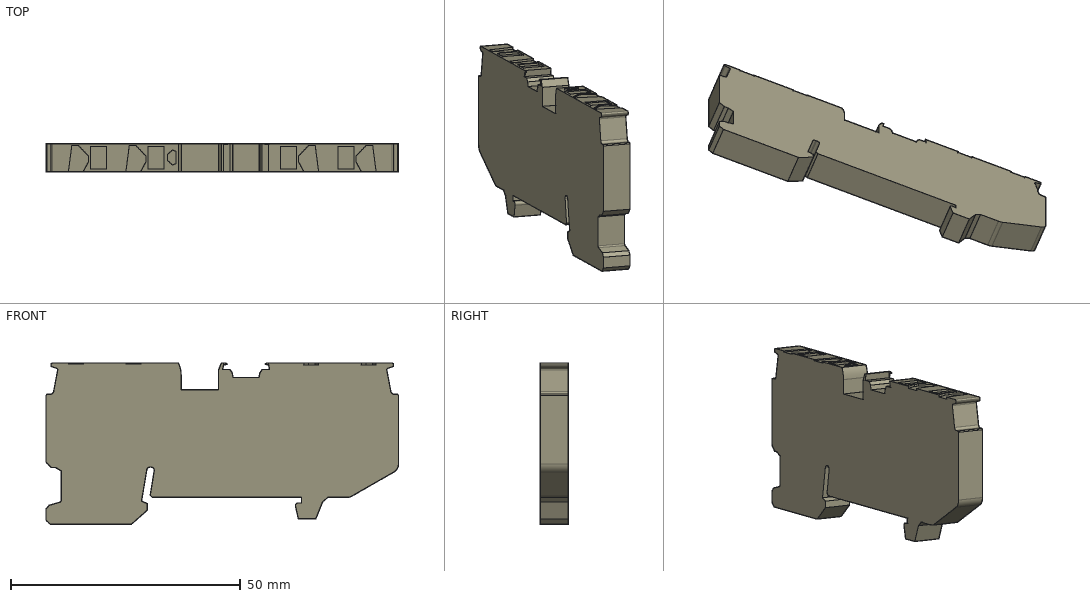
import cadquery as cq
import math

length = 77.0
width = 6.2
height = 35.25
sharp = 0.0

shoulder_z = 28.45
shoulder_chamfer = 0.25
shoulder_inset = 1.55
neck_inset = 2.6
neck_top_z = 34.0
lip_inset = 1.1
lip_bottom_z = 34.45
shoulder_radius = 0.7
neck_radius = 0.3
lip_radius = 0.35

slot_left_x = 29.55
slot_right_x = 37.65
slot_floor_z = 29.45
slot_lead_in = 0.6
slot_lead_in_z = 34.0
slot_lead_in_radius = 6.0

marker_center_x = 43.7
marker_floor_z = 32.1
marker_floor_half = 2.8
marker_wall_half = 3.0
marker_wall_z = 33.1
marker_ledge_z = 33.85
marker_ledge_half = 3.5
ledge_end_half = 5.1
groove_top_half = 4.9
barb_bottom_z = 34.75
barb_tip_half = 4.1
barb_tip_z = 35.0
barb_top_half = 4.5
barb_width = 0.2
ridge_top_x = 38.3
ridge_slope_z = 33.7

base_z = 5.9
slope_start_x = 66.35
slope_end_z = 12.0
slope_radius = 2.0

hook_root_x = 55.8
hook_tip_x = 54.3
hook_top_z = 4.7
hook_bottom_z = 1.2
hook_bottom_left_x = 55.1
hook_bottom_right_x = 58.95
hook_back_x = 60.45
hook_back_z = 4.95
hook_back_end_x = 61.6
hook_tip_radius = 0.6

gap_top_z = 12.5
gap_left_bottom_x = 20.9
gap_left_top_x = 22.15
gap_right_bottom_x = 22.75
gap_right_top_x = 23.75
gap_bottom_z = 5.1
gap_radius = 0.7
gap_mouth_z = 6.4
gap_mouth_x = 23.25
toe_x = 22.15
toe_top_z = 4.55
toe_bottom_z = 3.1
foot_right_x = 18.65
foot_chamfer = 0.95
foot_side_z = 3.35
foot_bevel_x = 0.7
foot_bevel_z = 4.2
recess_x = 3.3
recess_bottom_z = 4.95
recess_top_z = 11.7
recess_radius = 0.35
recess_step_x = 2.1
recess_step_z = 12.4
recess_lip_x = 1.15
recess_lip_z = 13.6

pocket_pitch = 12.55
left_pocket_depth = 0.25
right_pocket_depth = 0.45
window_inset = 9.75
window_length = 3.5
window_y_min = 0.65
window_y_max = 5.5
entry_foot_outer = 4.9
entry_foot_inner = 8.1
entry_back_outer = 5.65
entry_back_inner = 7.1
entry_back_y = 5.75
entry_tip = 9.35
entry_tip_y_min = 2.3
entry_tip_y_max = 3.4

test_left_x = 26.5
test_apex_x = 27.65
test_right_x = 28.45
test_center_y = 3.15
test_left_half = 0.6
test_right_half = 1.3
test_apex_half = 1.65


def rounded_wire(corners):
    """Closed XZ outline from (x, z, radius) corners, each rounded by a tangent arc."""
    outline = None
    for i, (x, z, radius) in enumerate(corners):
        before = cq.Vector(*corners[i - 1][:2])
        after = cq.Vector(*corners[(i + 1) % len(corners)][:2])
        corner = cq.Vector(x, z)
        to_before = (before - corner).normalized()
        to_after = (after - corner).normalized()
        half_angle = to_before.getAngle(to_after) / 2
        setback = radius / math.tan(half_angle)
        start = corner + to_before * setback
        if outline is None:
            outline = cq.Workplane("XZ").moveTo(start.x, start.y)
        else:
            outline = outline.lineTo(start.x, start.y)
        if radius > 0:
            bisector = (to_before + to_after).normalized()
            middle = corner + bisector * (radius / math.sin(half_angle) - radius)
            end = corner + to_after * setback
            outline = outline.threePointArc((middle.x, middle.y), (end.x, end.y))
    return outline.close()


def left_head():
    """Corners of the left end from the end face up to the top lip."""
    return [
        (0, shoulder_z - shoulder_chamfer, sharp),
        (shoulder_chamfer, shoulder_z, sharp),
        (shoulder_inset, shoulder_z, shoulder_radius),
        (neck_inset, neck_top_z, neck_radius),
        (lip_inset, lip_bottom_z, lip_radius),
        (lip_inset, height, lip_radius),
    ]


def marker_right_half():
    """Corners of the right half of the marker groove, from the floor to the top face."""
    offsets = [
        (marker_floor_half, marker_floor_z),
        (marker_wall_half, marker_wall_z),
        (marker_ledge_half, marker_ledge_z),
        (ledge_end_half, marker_ledge_z),
        (groove_top_half, height),
    ]
    return [(marker_center_x + offset, z, sharp) for offset, z in offsets]


def mirrored(corners, center_x):
    """The corners reflected about x = center_x, in reverse order."""
    return [(2 * center_x - x, z, radius) for x, z, radius in reversed(corners)]


def bridge_slot():
    return [
        (slot_left_x - slot_lead_in, height, sharp),
        (slot_left_x, slot_lead_in_z, slot_lead_in_radius),
        (slot_left_x, slot_floor_z, sharp),
        (slot_right_x, slot_floor_z, sharp),
        (slot_right_x, ridge_slope_z, sharp),
        (ridge_top_x, height, sharp),
    ]


def right_hook():
    """Corners of the sloping right end and the hook, from right to left."""
    return [
        (length, slope_end_z, slope_radius),
        (slope_start_x, base_z, slope_radius),
        (hook_back_end_x, base_z, sharp),
        (hook_back_x, hook_back_z, sharp),
        (hook_bottom_right_x, hook_bottom_z, sharp),
        (hook_bottom_left_x, hook_bottom_z, sharp),
        (hook_tip_x, hook_top_z, hook_tip_radius),
        (hook_root_x, hook_top_z, sharp),
        (hook_root_x, base_z, sharp),
    ]


def left_foot():
    """Corners of the gap, the foot and the end recess, from right to left."""
    return [
        (gap_mouth_x, base_z, sharp),
        (gap_right_bottom_x, gap_mouth_z, sharp),
        (gap_right_top_x, gap_top_z, gap_radius),
        (gap_left_top_x, gap_top_z, gap_radius),
        (gap_left_bottom_x, gap_bottom_z, sharp),
        (toe_x, toe_top_z, sharp),
        (toe_x, toe_bottom_z, sharp),
        (foot_right_x, 0, sharp),
        (foot_chamfer, 0, sharp),
        (0, foot_chamfer, sharp),
        (0, foot_side_z, sharp),
        (foot_bevel_x, foot_bevel_z, sharp),
        (recess_x, recess_bottom_z, recess_radius),
        (recess_x, recess_top_z, sharp),
        (recess_step_x, recess_step_z, sharp),
        (recess_lip_x, recess_step_z, sharp),
        (0, recess_lip_z, sharp),
    ]


def body():
    marker_right = marker_right_half()
    corners = left_head() + bridge_slot()
    corners += mirrored(marker_right, marker_center_x) + marker_right
    corners += mirrored(left_head(), length / 2)
    corners += right_hook() + left_foot()
    return rounded_wire(corners).extrude(-width)


def snap_barb(side):
    """Thin barb over the marker groove at y = width; side is -1 (left) or +1 (right)."""
    profile = [
        (ledge_end_half, marker_ledge_z),
        (groove_top_half, height),
        (barb_top_half, height),
        (barb_tip_half, barb_tip_z),
        (groove_top_half, barb_bottom_z),
    ]
    points = [(side * offset, z) for offset, z in profile]
    back_plane = cq.Workplane("XZ", origin=(marker_center_x, width, 0))
    return back_plane.polyline(points).close().extrude(barb_width)


def top_pocket(points, depth):
    """Cutter for a flat-floored pocket sunk into the top face."""
    return cq.Workplane("XY", origin=(0, 0, height - depth)).polyline(points).close().extrude(2 * depth)


def window_points(shift):
    outer = window_inset + shift
    inner = outer + window_length
    return [(outer, window_y_min), (inner, window_y_min), (inner, window_y_max), (outer, window_y_max)]


def entry_points(shift):
    points = [
        (entry_foot_outer, 0),
        (entry_foot_inner, 0),
        (entry_tip, entry_tip_y_min),
        (entry_tip, entry_tip_y_max),
        (entry_back_inner, entry_back_y),
        (entry_back_outer, entry_back_y),
    ]
    return [(x + shift, y) for x, y in points]


def test_points():
    return [
        (test_left_x, test_center_y - test_left_half),
        (test_apex_x, test_center_y - test_apex_half),
        (test_right_x, test_center_y - test_right_half),
        (test_right_x, test_center_y + test_right_half),
        (test_apex_x, test_center_y + test_apex_half),
        (test_left_x, test_center_y + test_left_half),
    ]


result = body()
for barb_side in (-1, 1):
    result = result.union(snap_barb(barb_side))
for pocket_shift in (0, pocket_pitch):
    for outline in (window_points(pocket_shift), entry_points(pocket_shift)):
        opposite = [(length - x, y) for x, y in outline]
        result = result.cut(top_pocket(outline, left_pocket_depth))
        result = result.cut(top_pocket(opposite, right_pocket_depth))
result = result.cut(top_pocket(test_points(), left_pocket_depth))